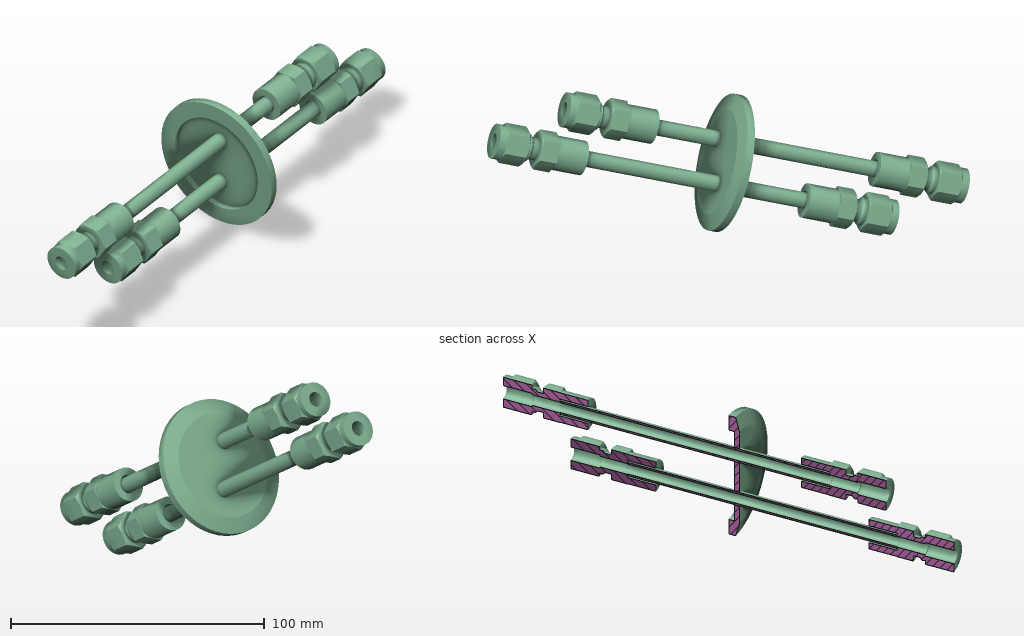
import cadquery as cq
import math

flange_dia = 55.0
flange_back_dia = 42.5
flange_cone_angle = 15.0
flange_rim_thickness = 3.2
flange_cone_depth = (flange_dia - flange_back_dia) / 2 * math.tan(math.radians(flange_cone_angle))
recess_dia = 41.2
recess_depth = 2.5

line_height = 10.0
line_length = 170.0
overall_length = 200.0
line_shift = (overall_length - line_length) / 2

tube_dia = 6.5
tube_bore_dia = 4.5

hex_flats = 14.0
hex_chamfer_dia = hex_flats
hex_chamfer_angle = 30.0
nut_collar_dia = 14.0
shoulder_dia = 11.2
shoulder_front_dia = 10.8
neck_dia = 9.0
sleeve_dia = 13.8
nut_bore_dia = 6.0
fitting_bore_dia = 4.8
socket_dia = 7.5

nut_hex_start = 3.0
nut_hex_end = 12.8
shoulder_peak = 14.2
neck_start = 15.2
body_hex_start = 17.8
sleeve_start = 25.2
fitting_length = 37.8
nut_bore_depth = nut_hex_end
socket_floor = sleeve_start

tube_length = line_length - 2 * socket_floor


def cylinder(diameter, start, end):
    """Cylinder on the Z axis between two heights."""
    return cq.Workplane("XY").workplane(offset=start).circle(diameter / 2).extrude(end - start)


def frustum(start_dia, end_dia, start, end):
    """Cone frustum on the Z axis between two heights."""
    outline = [(0, start), (start_dia / 2, start), (end_dia / 2, end), (0, end)]
    return cq.Workplane("XZ").polyline(outline).close().revolve(360, (0, 0, 0), (0, 1, 0))


def chamfered_hex(start, end, both_ends=True):
    """Hexagon on the Z axis with its corners turned down to a cone at one or both ends."""
    corner_dia = hex_flats / math.cos(math.pi / 6)
    rise = (corner_dia - hex_chamfer_dia) / 2 * math.tan(math.radians(hex_chamfer_angle))
    turned_blank = frustum(hex_chamfer_dia, corner_dia, start, start + rise).union(
        cylinder(corner_dia, start + rise, end)
    )
    if both_ends:
        end_cone = frustum(corner_dia, hex_chamfer_dia, end - rise, end)
        turned_blank = turned_blank.cut(cylinder(corner_dia, end - rise, end)).union(end_cone)
    prism = cq.Workplane("XY").workplane(offset=start).polygon(6, corner_dia).extrude(end - start)
    return prism.intersect(turned_blank)


def make_flange():
    """Disc with a conical back, a round recess in its front and a hole for each tube."""
    back_face = flange_rim_thickness + flange_cone_depth
    disc = cylinder(flange_dia, 0, flange_rim_thickness).union(
        frustum(flange_dia, flange_back_dia, flange_rim_thickness, back_face)
    )
    disc = disc.cut(cylinder(recess_dia, 0, recess_depth))
    disc = disc.rotate((0, 0, 0), (1, 0, 0), -90)
    for height in (line_height, -line_height):
        hole = cq.Workplane("XZ", origin=(0, 0, height)).circle(tube_dia / 2).extrude(-back_face)
        disc = disc.cut(hole)
    return disc


def make_tube(center_y, height):
    """Tube along Y whose ends rest on the socket floors of its two fittings."""
    return (
        cq.Workplane("XZ", origin=(0, center_y - tube_length / 2, height))
        .circle(tube_dia / 2)
        .circle(tube_bore_dia / 2)
        .extrude(-tube_length)
    )


def make_fitting():
    """Compression fitting on the Z axis, with its outer end at the origin."""
    solid = (
        cylinder(nut_collar_dia, 0, nut_hex_start)
        .union(chamfered_hex(nut_hex_start, nut_hex_end))
        .union(frustum(shoulder_front_dia, shoulder_dia, nut_hex_end, shoulder_peak))
        .union(frustum(shoulder_dia, neck_dia, shoulder_peak, neck_start))
        .union(cylinder(neck_dia, neck_start, body_hex_start))
        .union(chamfered_hex(body_hex_start, sleeve_start, both_ends=False))
        .union(cylinder(sleeve_dia, sleeve_start, fitting_length))
    )
    return (
        solid.cut(cylinder(fitting_bore_dia, 0, fitting_length))
        .cut(cylinder(nut_bore_dia, 0, nut_bore_depth))
        .cut(cylinder(socket_dia, socket_floor, fitting_length))
    )


def place_fitting(center_y, height, side):
    """Fitting at the front (side = -1) or back (side = 1) end of a line, pointing outwards."""
    end_y = center_y + side * line_length / 2
    return make_fitting().rotate((0, 0, 0), (1, 0, 0), side * 90).translate((0, end_y, height))


flange = make_flange()
tubes = []
fittings = []
for level in (1, -1):
    line_y = -level * line_shift
    line_z = level * line_height
    tubes.append(make_tube(line_y, line_z))
    for side in (-1, 1):
        fittings.append(place_fitting(line_y, line_z, side))

result = cq.Compound.makeCompound(
    [flange.val()] + [tube.val() for tube in tubes] + [fitting.val() for fitting in fittings]
)